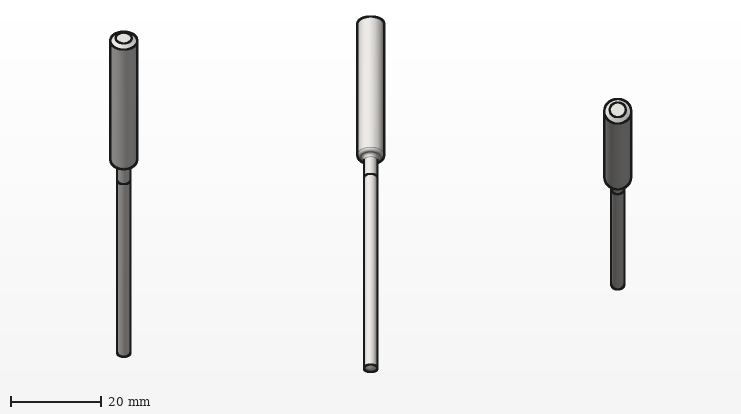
import cadquery as cq
import math

TOTAL_LENGTH = 94.0
SHANK_RADIUS = 6.0 / 2
DRILL_RADIUS = 3.0 / 2

DRILL_TOP = 51.9
SHOULDER_HEIGHT = 57.2

TIP_ANGLE = 140.0
END_FACE_RADIUS = 1.8
CROWN_HEIGHT = 0.75
TIP_HEIGHT = DRILL_RADIUS / math.tan(math.radians(TIP_ANGLE / 2))


def make_shank():
    """Chamfered shank and neck joined by two equal quarter arcs.

    The lower arc flares out from the neck and the upper one rounds off the shank.
    """
    curve_radius = (SHANK_RADIUS - DRILL_RADIUS) / 2
    middle_radius = DRILL_RADIUS + curve_radius
    neck_top = SHOULDER_HEIGHT - curve_radius
    shank_bottom = SHOULDER_HEIGHT + curve_radius

    return (
        cq.Workplane("XZ")
        .moveTo(0, DRILL_TOP)
        .lineTo(DRILL_RADIUS, DRILL_TOP)
        .lineTo(DRILL_RADIUS, neck_top)
        .tangentArcPoint((middle_radius, SHOULDER_HEIGHT), relative=False)
        .radiusArc((SHANK_RADIUS, shank_bottom), -curve_radius)
        .lineTo(SHANK_RADIUS, TOTAL_LENGTH - CROWN_HEIGHT)
        .lineTo(END_FACE_RADIUS, TOTAL_LENGTH)
        .lineTo(0, TOTAL_LENGTH)
        .close()
        .revolve(360, (0, 0), (0, 1))
    )


def make_drill():
    """Cylindrical drill with a conical point."""
    return (
        cq.Workplane("XZ")
        .moveTo(0, 0)
        .lineTo(DRILL_RADIUS, TIP_HEIGHT)
        .lineTo(DRILL_RADIUS, DRILL_TOP)
        .lineTo(0, DRILL_TOP)
        .close()
        .revolve(360, (0, 0), (0, 1))
    )


shank = make_shank()
drill = make_drill()
result = cq.Compound.makeCompound([shank.val(), drill.val()])